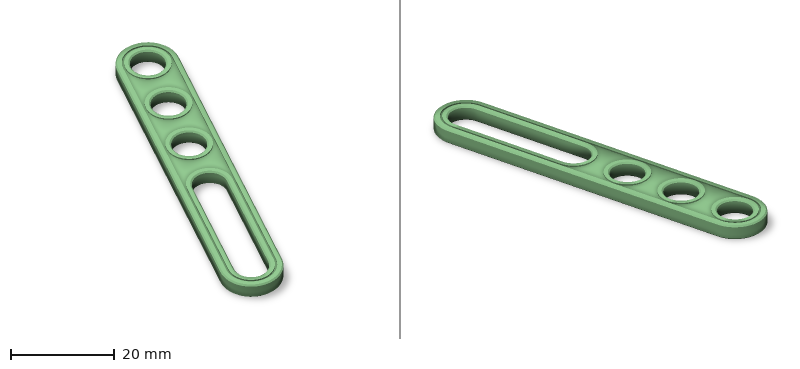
import cadquery as cq

length = 75.0
pitch_count = 6
thickness = 3.15
hole_diameter = 7.0
collar_diameter = 9.2
rim_width = 1.2
recess_depth = 0.3
edge_chamfer = 0.3
round_hole_count = 3

pitch = length / pitch_count
width = pitch
first_hole_x = (pitch - length) / 2
hole_xs = [first_hole_x + i * pitch for i in range(round_hole_count)]
slot_start_x = first_hole_x + round_hole_count * pitch
slot_end_x = -first_hole_x
slot_center_x = (slot_start_x + slot_end_x) / 2
slot_travel = slot_end_x - slot_start_x
recess_floor = thickness - recess_depth


def rounded_bar(bar_length, bar_width, bottom, height):
    """Upright solid with a round-ended outline, centred on the origin."""
    return cq.Workplane("XY").workplane(offset=bottom).slot2D(bar_length, bar_width).extrude(height)


def openings(diameter, bottom, height):
    """Upright solids of the round holes and the long slot at the given diameter."""
    holes = (
        cq.Workplane("XY")
        .workplane(offset=bottom)
        .pushPoints([(x, 0) for x in hole_xs])
        .circle(diameter / 2)
        .extrude(height)
    )
    slot = rounded_bar(slot_travel + diameter, diameter, bottom, height)
    return holes.union(slot.translate((slot_center_x, 0, 0)))


bar = rounded_bar(length, width, 0, thickness)
bar = bar.cut(openings(hole_diameter, 0, thickness))
bar = bar.faces("<Z or >Z").edges().chamfer(edge_chamfer)

recess = rounded_bar(length - 2 * rim_width, width - 2 * rim_width, recess_floor, recess_depth)
recess = recess.cut(openings(collar_diameter, recess_floor, recess_depth))

result = bar.cut(recess)